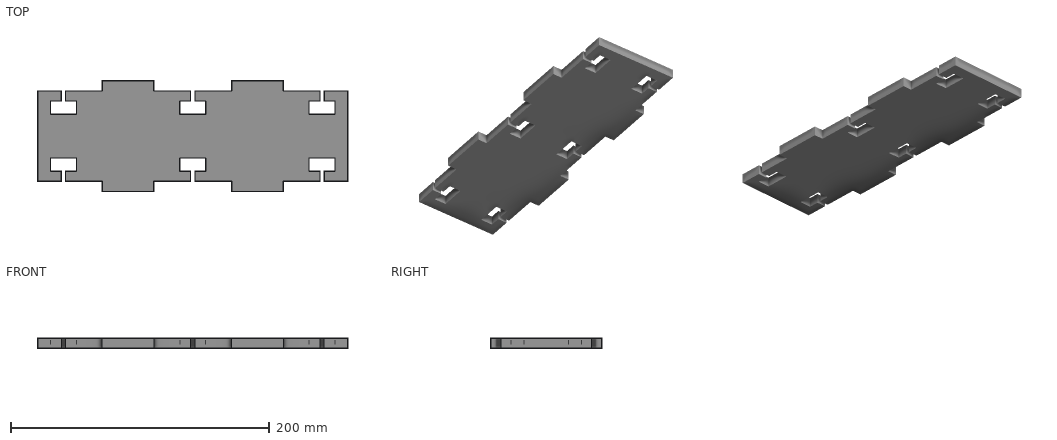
import cadquery as cq

length = 240.0
total_width = 86.0
thickness = 8.0
tab_length = 40.0
tab_depth = thickness
pitch = 100.0
slot_length = 20.0
slot_width = 10.0
neck_length = thickness
neck_width = 3.0

body_width = total_width - 2 * tab_depth
edge_y = body_width / 2
slot_y = edge_y - neck_length - slot_width / 2
neck_y = edge_y - neck_length / 2
tab_positions = [(-pitch / 2, 0), (pitch / 2, 0)]
slot_columns = [-pitch, 0, pitch]


def plate():
    """Rectangular body with tabs on both long edges."""
    body = cq.Workplane("XY").box(length, body_width, thickness)
    tabs = (
        cq.Workplane("XY")
        .pushPoints(tab_positions)
        .box(tab_length, total_width, thickness)
    )
    return body.union(tabs)


def slots(side):
    """T-slots opening through one long edge; side is +1 or -1 along Y."""
    wide_parts = (
        cq.Workplane("XY")
        .pushPoints([(x, side * slot_y) for x in slot_columns])
        .box(slot_length, slot_width, thickness)
    )
    necks = (
        cq.Workplane("XY")
        .pushPoints([(x, side * neck_y) for x in slot_columns])
        .box(neck_width, neck_length, thickness)
    )
    return wide_parts.union(necks)


result = plate()
for side in (-1, 1):
    result = result.cut(slots(side))